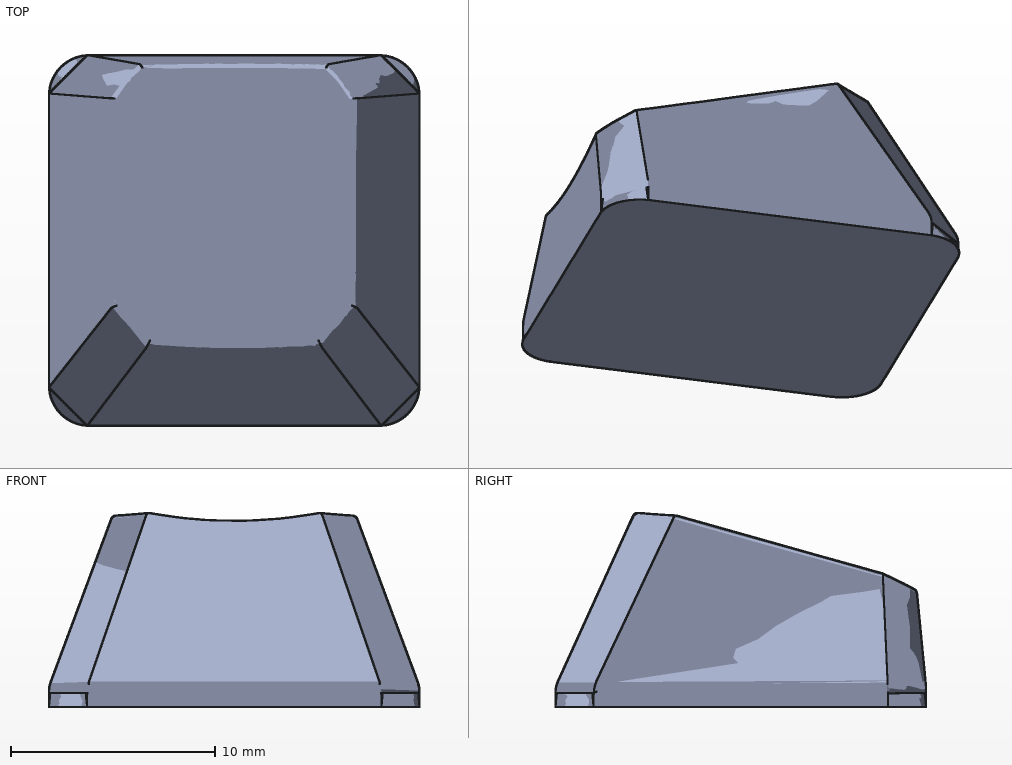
import cadquery as cq
import math

WIDTH = 18.16
FOOT_RADIUS = 2.0
CORNER_CUT = 1.88
FOOT_HEIGHT = 0.7
SKIRT_HEIGHT = 1.0
SKIRT_FILLET = 1.3

RIM_HALF_WIDTH = 5.92
RIM_FRONT = -4.98
RIM_BACK = 8.58
RIM_SIDE_FRONT = -3.18
RIM_SIDE_BACK = 6.95
RIM_FRONT_HALF = 4.1
RIM_BACK_HALF = 4.3
RIM_FRONT_HEIGHT = 10.02
TILT = math.radians(15.8)
RIM_FILLET = 0.35

BOW_X = 6.56
BOW_Y = 8.09
BOW_Z = 4.47

DISH_RADIUS = 21.0
DISH_MARGIN = 0.03
DISH_OVERRUN = 20.0

LEVEL_TOLERANCE = 0.1


def top_plane_height(y):
    """Height of the tilted top plane at a given Y."""
    return RIM_FRONT_HEIGHT - (y - RIM_FRONT) * math.tan(TILT)


def mirrored_outline(right_side):
    """Close a run of right-hand corners, listed front to back, with its mirror image in X."""
    left_side = [(-x, y) for x, y in reversed(right_side)]
    return right_side + left_side


def skirt_points(height):
    """Square with cut corners, the outline of the skirt, at a given height."""
    half = WIDTH / 2
    flat = half - CORNER_CUT
    outline = mirrored_outline([(flat, -half), (half, -flat), (half, flat), (flat, half)])
    return [cq.Vector(x, y, height) for x, y in outline]


def rim_points():
    """Square with cut corners on the tilted top plane."""
    outline = mirrored_outline([
        (RIM_FRONT_HALF, RIM_FRONT),
        (RIM_HALF_WIDTH, RIM_SIDE_FRONT),
        (RIM_HALF_WIDTH, RIM_SIDE_BACK),
        (RIM_BACK_HALF, RIM_BACK),
    ])
    return [cq.Vector(x, y, top_plane_height(y)) for x, y in outline]


def polygon(points):
    """Closed wire through the given points."""
    return cq.Wire.makePolygon(points, close=True)


def is_back_corner(start, end):
    """Whether a skirt edge cuts one of the two corners on the low side."""
    return start.x != end.x and start.y != end.y and start.y + end.y > 0


def ruled_wall(lower_start, lower_end, upper_start, upper_end):
    """Wall of straight rulings between a lower and an upper edge."""
    lower = cq.Edge.makeLine(lower_start, lower_end)
    upper = cq.Edge.makeLine(upper_start, upper_end)
    return cq.Face.makeRuledSurface(lower, upper)


def bowed_wall(lower_start, lower_end, upper_start, upper_end):
    """Wall with straight edges whose middle bows outward through the bow point."""
    corners = [lower_start, lower_end, upper_end, upper_start]
    edges = [cq.Edge.makeLine(corners[i - 1], corners[i]) for i in range(len(corners))]
    bow_point = cq.Vector(math.copysign(BOW_X, lower_start.x), BOW_Y, BOW_Z)
    return cq.Face.makeNSidedSurface(edges, [bow_point])


def make_body():
    """Upright skirt and leaning walls, closed by the flat bottom and the tilted top plane."""
    bottom = skirt_points(0)
    skirt = skirt_points(SKIRT_HEIGHT)
    rim = rim_points()
    faces = [cq.Face.makeFromWires(polygon(bottom)), cq.Face.makeFromWires(polygon(rim))]
    for i in range(len(skirt)):
        faces.append(ruled_wall(bottom[i - 1], bottom[i], skirt[i - 1], skirt[i]))
        make_wall = bowed_wall if is_back_corner(skirt[i - 1], skirt[i]) else ruled_wall
        faces.append(make_wall(skirt[i - 1], skirt[i], rim[i - 1], rim[i]))
    return cq.Workplane(obj=cq.Solid.makeSolid(cq.Shell.makeShell(faces)))


def blend_skirt(body):
    """Round the edges where the walls start to lean inward."""
    low = (-WIDTH, -WIDTH, SKIRT_HEIGHT - LEVEL_TOLERANCE)
    high = (WIDTH, WIDTH, SKIRT_HEIGHT + LEVEL_TOLERANCE)
    return body.edges(cq.selectors.BoxSelector(low, high)).fillet(SKIRT_FILLET)


def dish_cutter():
    """Cylinder lying along the slope that hollows the top."""
    slope = cq.Vector(0, math.cos(TILT), -math.sin(TILT))
    normal = cq.Vector(0, math.sin(TILT), math.cos(TILT))
    axis_height = math.sqrt(DISH_RADIUS ** 2 - RIM_HALF_WIDTH ** 2) - DISH_MARGIN
    front_edge = cq.Vector(0, RIM_FRONT, RIM_FRONT_HEIGHT)
    start = front_edge + normal * axis_height - slope * DISH_OVERRUN
    length = RIM_BACK - RIM_FRONT + 2 * DISH_OVERRUN
    return cq.Workplane(obj=cq.Solid.makeCylinder(DISH_RADIUS, length, start, slope))


def dish_top(body):
    """Hollow the top and round its rim."""
    dished = body.cut(dish_cutter())
    return dished.faces("%CYLINDER").faces(">Z").edges().fillet(RIM_FILLET)


def rounded_square_wire():
    """Round-cornered bottom outline, its edges in the same order as those of the skirt."""
    half = WIDTH / 2
    flat = half - FOOT_RADIUS
    bulge = flat + FOOT_RADIUS * math.sqrt(0.5)
    return (
        cq.Workplane("XY")
        .moveTo(flat, -half)
        .threePointArc((bulge, -bulge), (half, -flat))
        .lineTo(half, flat)
        .threePointArc((bulge, bulge), (flat, half))
        .lineTo(-flat, half)
        .threePointArc((-bulge, bulge), (-half, flat))
        .lineTo(-half, -flat)
        .threePointArc((-bulge, -bulge), (-flat, -half))
        .close()
        .val()
    )


def make_foot():
    """Foot whose round bottom corners run out into the straight corner cuts of the skirt."""
    outlines = [rounded_square_wire(), polygon(skirt_points(FOOT_HEIGHT))]
    return cq.Workplane(obj=cq.Solid.makeLoft(outlines, True))


keycap = dish_top(blend_skirt(make_body()))
result = keycap.union(make_foot())